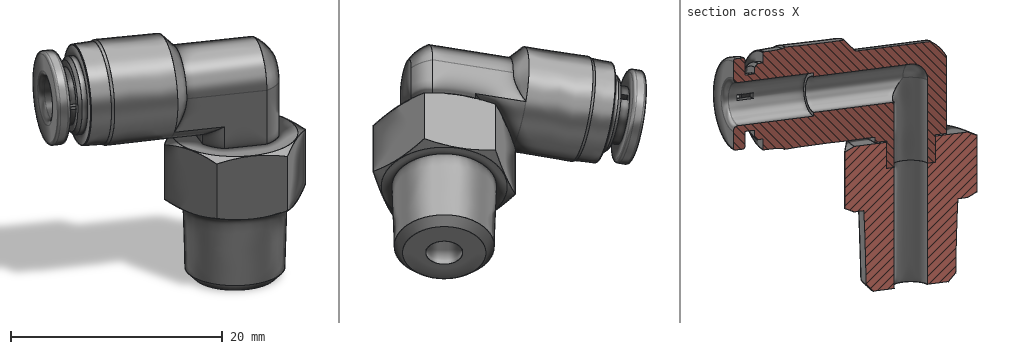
import cadquery as cq
import math


overall_length = 25.53
hex_flats = 12.0
hex_corner_radius = hex_flats / math.sqrt(3)
hex_top = -5.57
hex_height = 6.45
hex_bottom = hex_top - hex_height
hex_face_radius = 5.95
hex_chamfer_angle = 25.0
thread_length = 8.0
thread_end = hex_bottom - thread_length
thread_top_radius = 4.95
thread_taper = 1 / 32
thread_chamfer = 0.8

swivel_gap = 0.08
elbow_bottom = hex_top + swivel_gap
spigot_radius = 2.55
spigot_depth = 2.55
spigot_end = hex_top - spigot_depth
elbow_radius = 3.75
dome_radius = 4.3
socket_radius = 4.98
socket_end_radius = 5.03
socket_cone_start = -5.77
socket_end = -13.2
cap_step_end = -13.48
cap_step_radius = 4.9
cap_end = -15.5
cap_end_radius = 4.83
cap_edge_break = 0.08
guide_radius = elbow_radius
guide_end = -16.36
guide_chamfer = 0.33

flange_front = hex_corner_radius - overall_length
flange_thickness = 1.28
flange_back = flange_front + flange_thickness
flange_radius = 4.5
flange_front_fillet = 0.25
flange_back_fillet = 0.3
sleeve_radius = 2.78
tube_radius = 2.1
tube_mouth_fillet = 0.5
slot_width = 0.54
slot_end_gap = 0.15

bore_radius = 1.74
tube_stop = -10.2


def revolve_about_z(points):
    return cq.Workplane("XZ").polyline(points).close().revolve(360, (0, 0, 0), (0, 1, 0))


def revolve_about_y(points):
    return cq.Workplane("XY").polyline(points).close().revolve(360, (0, 0, 0), (0, 1, 0))


def y_cylinder(radius, y_front, y_back):
    return cq.Workplane("XZ", origin=(0, y_back, 0)).circle(radius).extrude(y_back - y_front)


def z_cylinder(radius, z_bottom, z_top):
    return cq.Workplane("XY", origin=(0, 0, z_bottom)).circle(radius).extrude(z_top - z_bottom)


def make_hex():
    prism = (
        cq.Workplane("XY", origin=(0, 0, hex_bottom))
        .polygon(6, 2 * hex_corner_radius)
        .extrude(hex_height)
        .rotate((0, 0, 0), (0, 0, 1), 30)
    )
    drop = (hex_corner_radius - hex_face_radius) * math.tan(math.radians(hex_chamfer_angle))
    envelope = revolve_about_z([
        (0, hex_bottom),
        (hex_face_radius, hex_bottom),
        (hex_corner_radius, hex_bottom + drop),
        (hex_corner_radius, hex_top - drop),
        (hex_face_radius, hex_top),
        (0, hex_top),
    ])
    return prism.intersect(envelope)


def make_stud():
    chamfer_top = thread_end + thread_chamfer
    chamfer_radius = thread_top_radius - thread_taper * (hex_bottom - chamfer_top)
    thread = revolve_about_z([
        (0, thread_end),
        (chamfer_radius - thread_chamfer, thread_end),
        (chamfer_radius, chamfer_top),
        (thread_top_radius, hex_bottom),
        (0, hex_bottom),
    ])
    stud = make_hex().union(thread)
    stud = stud.cut(z_cylinder(spigot_radius, spigot_end, hex_top))
    return stud.cut(z_cylinder(bore_radius, thread_end, hex_top))


def make_leg():
    post = z_cylinder(dome_radius, elbow_bottom, 0)
    dome = cq.Workplane("XY").sphere(dome_radius)
    lower = (
        cq.Workplane("XY", origin=(0, 0, elbow_bottom))
        .rect(2 * elbow_radius, 2 * elbow_radius)
        .extrude(-elbow_bottom)
    )
    upper = y_cylinder(elbow_radius, -elbow_radius, elbow_radius)
    return lower.union(upper).intersect(post.union(dome))


def make_arm():
    depth = -socket_cone_start + socket_radius - elbow_radius
    lower = cq.Workplane("XY").box(
        2 * elbow_radius, depth, socket_radius, centered=(True, False, False)
    ).translate((0, -depth, -socket_radius))
    upper = y_cylinder(elbow_radius, -depth, 0)
    arm = lower.union(upper).intersect(y_cylinder(socket_radius, -depth, 0))
    behind_leg = cq.Workplane("XY").box(
        4 * elbow_radius, elbow_radius, 2 * socket_radius, centered=(True, False, True)
    ).translate((0, -elbow_radius / 2, 0))
    return arm.cut(behind_leg)


def make_socket():
    cone_end = socket_cone_start - (socket_radius - elbow_radius)
    return revolve_about_y([
        (0, socket_cone_start),
        (elbow_radius, socket_cone_start),
        (socket_radius, cone_end),
        (socket_end_radius, socket_end),
        (cap_step_radius, cap_step_end),
        (cap_end_radius, cap_end + cap_edge_break),
        (cap_end_radius - cap_edge_break, cap_end),
        (0, cap_end),
    ])


def make_guide():
    guide = y_cylinder(guide_radius, guide_end, cap_end)
    return guide.faces("<Y").edges().chamfer(guide_chamfer)


def make_collet():
    flange = (
        y_cylinder(flange_radius, flange_front, flange_back)
        .faces("<Y").edges().fillet(flange_front_fillet)
        .faces(">Y").edges().fillet(flange_back_fillet)
    )
    return flange.union(y_cylinder(sleeve_radius, flange_back, guide_end))


def make_tube_bore():
    outline = (
        cq.Workplane("XY")
        .moveTo(0, tube_stop)
        .lineTo(tube_radius, tube_stop)
        .lineTo(tube_radius, flange_front + tube_mouth_fillet)
        .radiusArc((tube_radius + tube_mouth_fillet, flange_front), -tube_mouth_fillet)
        .lineTo(0, flange_front)
        .close()
    )
    return outline.revolve(360, (0, 0, 0), (0, 1, 0))


def make_slot():
    slot_front = flange_back + slot_end_gap
    return (
        cq.Workplane("XZ", origin=(0, cap_end, 0))
        .rect(2 * sleeve_radius, slot_width)
        .extrude(cap_end - slot_front)
    )


def make_passage():
    along_tube = y_cylinder(bore_radius, tube_stop, 0)
    along_stud = z_cylinder(bore_radius, spigot_end, 0)
    corner = cq.Workplane("XY").sphere(bore_radius)
    return along_tube.union(along_stud).union(corner)


def make_elbow():
    elbow = make_leg()
    spigot = z_cylinder(spigot_radius, spigot_end, elbow_bottom)
    for part in (spigot, make_arm(), make_socket(), make_guide(), make_collet()):
        elbow = elbow.union(part)
    for opening in (make_tube_bore(), make_slot(), make_passage()):
        elbow = elbow.cut(opening)
    return elbow


stud = make_stud()
elbow = make_elbow()
result = cq.Compound.makeCompound([stud.val(), elbow.val()])